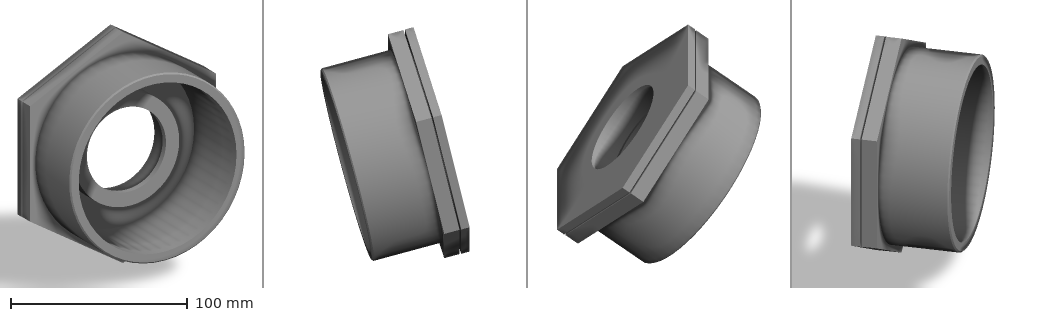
import cadquery as cq

length = 56.0
wall = 5.7

front_hex_corners = 138.5
rear_hex_corners = 138.3
front_hex_thickness = 5.0
groove_width = 1.0
flange_end = 15.0
rear_hex_start = front_hex_thickness + groove_width

body_diameter = 113.0
cavity_diameter = body_diameter - 2 * wall
end_chamfer = 0.8

socket_diameter = 56.7
socket_depth = 15.0
lip_diameter = 51.0
lip_thickness = 4.0
sleeve_diameter = socket_diameter + 2 * wall
sleeve_end = socket_depth + lip_thickness


def cylinder(diameter, start, end):
    """Cylinder on the X axis between two X positions."""
    return cq.Workplane("YZ", origin=(start, 0, 0)).circle(diameter / 2).extrude(end - start)


def hex_plate(corners, start, end):
    """Hexagonal plate on the X axis with corners pointing up and down."""
    return (
        cq.Workplane("YZ", origin=(start, 0, 0))
        .transformed(rotate=(0, 0, 90))
        .polygon(6, corners)
        .extrude(end - start)
    )


body = cylinder(body_diameter, 0, length).faces(">X").edges().chamfer(end_chamfer)
body = body.cut(cylinder(cavity_diameter, wall, length))

front_plate = hex_plate(front_hex_corners, 0, front_hex_thickness)
rear_plate = hex_plate(rear_hex_corners, rear_hex_start, flange_end)
rear_plate = rear_plate.cut(cylinder(cavity_diameter, rear_hex_start, flange_end))

sleeve = cylinder(sleeve_diameter, 0, sleeve_end)
result = (
    body.union(front_plate)
    .union(rear_plate)
    .union(sleeve)
    .cut(cylinder(socket_diameter, 0, socket_depth))
    .cut(cylinder(lip_diameter, 0, sleeve_end))
)